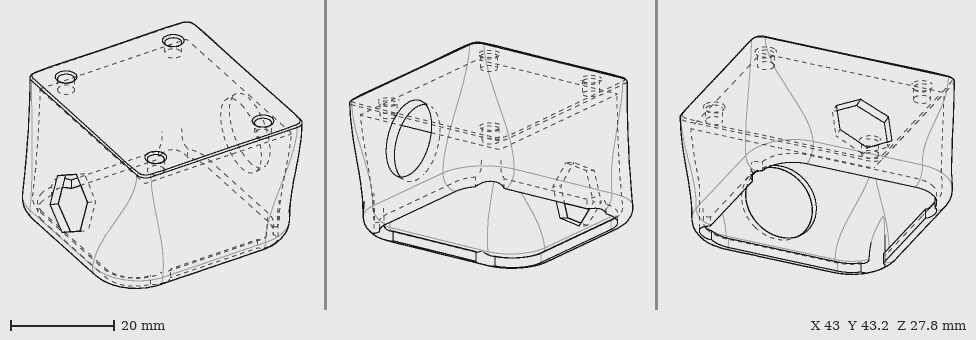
import cadquery as cq
import math

WIDTH = 43.0
HEIGHT = 27.75
BASE_BACK_Y = 21.5
BASE_FRONT_Y = -21.89
BACK_LEAN = 0.65
FRONT_LEAN = 5.45
TOP_CORNER_RADIUS = 2.0
BASE_CORNER_RADIUS = 9.9
BOTTOM_ROUND = 3.1
TOP_CHAMFER = 0.4
SECTION_COUNT = 9

WALL = 2.0
TOP_THICKNESS = 3.0
CAVITY_TOP = HEIGHT - TOP_THICKNESS
INNER_ROUND = BOTTOM_ROUND - WALL
RIM_WIDTH = 0.05
OPENING_INSET = BOTTOM_ROUND + RIM_WIDTH

SCREW_DIAMETER = 3.3
SCREW_CHAMFER = 0.45
SCREW_SPACING_X = 33.2
SCREW_SPACING_Y = 24.4
SCREW_HEAD_DIAMETER = 5.75
SCREW_BACK_INSET = 6.8

HEX_ACROSS_FLATS = 11.05
HEX_HEIGHT = 11.0
HEX_TILT = 13.5

BACK_HOLE_DIAMETER = 15.0
BACK_HOLE_HEIGHT = 13.7
BACK_HOLE_TILT = 15.0

WALL_CUT_REACH = 2.5 * WALL


def ease(fraction):
    """S-shaped blend from 0 to 1, level at both ends."""
    t = min(max(fraction, 0.0), 1.0)
    return t * t * (3.0 - 2.0 * t)


def blend_above_round(z):
    """Blend from the top of the bottom rounding to the top of the part."""
    return ease((z - BOTTOM_ROUND) / (HEIGHT - BOTTOM_ROUND))


def front_y(z):
    return BASE_FRONT_Y + FRONT_LEAN * ease(z / HEIGHT)


def back_y(z):
    return BASE_BACK_Y - BACK_LEAN * blend_above_round(z)


def corner_radius(z):
    return BASE_CORNER_RADIUS + (TOP_CORNER_RADIUS - BASE_CORNER_RADIUS) * blend_above_round(z)


def section(z, inset):
    """Rounded rectangle of the body at height z, drawn in by inset on every side."""
    x = WIDTH / 2 - inset
    front = front_y(z) + inset
    back = back_y(z) - inset
    r = corner_radius(z) - inset
    d = r * (1 - math.sqrt(0.5))
    return (
        cq.Workplane("XY", origin=(0, 0, z))
        .moveTo(-x + r, front)
        .lineTo(x - r, front)
        .threePointArc((x - d, front + d), (x, front + r))
        .lineTo(x, back - r)
        .threePointArc((x - d, back - d), (x - r, back))
        .lineTo(-x + r, back)
        .threePointArc((-x + d, back - d), (-x, back - r))
        .lineTo(-x, front + r)
        .threePointArc((-x + d, front + d), (-x + r, front))
        .close()
    )


def lofted_body(bottom, top, inset):
    step = (top - bottom) / (SECTION_COUNT - 1)
    heights = [bottom + step * i for i in range(SECTION_COUNT)]
    return cq.Workplane(cq.Solid.makeLoft([section(z, inset).val() for z in heights]))


def outer_body():
    body = lofted_body(0, HEIGHT, 0)
    body = body.faces("<Z").edges().fillet(BOTTOM_ROUND)
    return body.faces(">Z").edges().chamfer(TOP_CHAMFER)


def cavity():
    """Inner space one wall inside the body, rounded in at the foot of the walls."""
    space = lofted_body(WALL, CAVITY_TOP, WALL)
    return space.faces("<Z").edges().fillet(INNER_ROUND)


def bottom_opening():
    """Straight opening from the bottom face up into the cavity, leaving a lip all round."""
    return section(0, OPENING_INSET).extrude(2 * WALL)


def screw_holes():
    """Four chamfered through holes, each widened below the top for the screw head."""
    middle_y = back_y(HEIGHT) - SCREW_BACK_INSET - SCREW_SPACING_Y / 2
    hole_radius = SCREW_DIAMETER / 2
    head_radius = SCREW_HEAD_DIAMETER / 2
    profile = (
        cq.Workplane("XZ")
        .lineTo(head_radius, 0)
        .lineTo(head_radius, CAVITY_TOP)
        .lineTo(hole_radius, CAVITY_TOP)
        .lineTo(hole_radius, HEIGHT - SCREW_CHAMFER)
        .lineTo(hole_radius + SCREW_CHAMFER, HEIGHT)
        .lineTo(0, HEIGHT)
        .close()
    )
    hole = profile.revolve(360, (0, 0, 0), (0, 1, 0)).val()
    return (
        cq.Workplane("XY", origin=(0, middle_y, 0))
        .rarray(SCREW_SPACING_X, SCREW_SPACING_Y, 2, 2)
        .eachpoint(lambda place: hole.moved(place))
    )


def tilted_workplane(y, z, outward, tilt):
    """Plane at (0, y, z) facing outward along Y (+1 or -1) and tilted upwards."""
    angle = math.radians(tilt)
    normal = (0, outward * math.cos(angle), math.sin(angle))
    return cq.Workplane(cq.Plane(origin=(0, y, z), xDir=(1, 0, 0), normal=normal))


def hex_opening():
    across_corners = HEX_ACROSS_FLATS / math.cos(math.pi / 6)
    plane = tilted_workplane(front_y(HEX_HEIGHT), HEX_HEIGHT, -1, HEX_TILT)
    upright = plane.transformed(rotate=(0, 0, 90))
    return upright.polygon(6, across_corners).extrude(WALL_CUT_REACH, both=True)


def back_opening():
    plane = tilted_workplane(back_y(BACK_HOLE_HEIGHT), BACK_HOLE_HEIGHT, 1, BACK_HOLE_TILT)
    return plane.circle(BACK_HOLE_DIAMETER / 2).extrude(WALL_CUT_REACH, both=True)


result = (
    outer_body()
    .cut(cavity())
    .cut(bottom_opening())
    .cut(screw_holes())
    .cut(hex_opening())
    .cut(back_opening())
)